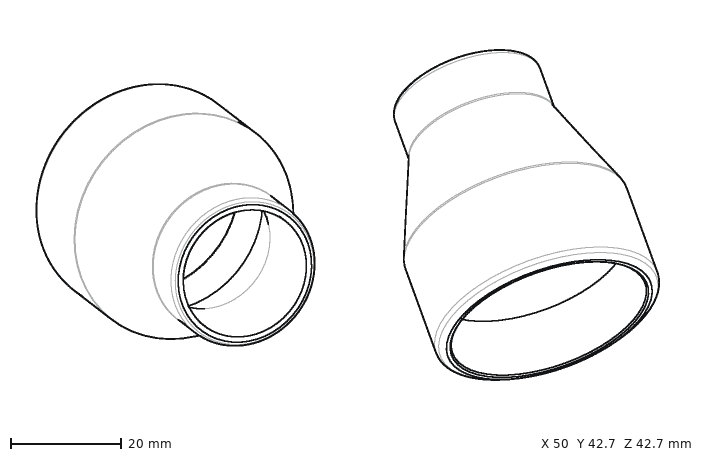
import cadquery as cq
import math

length = 50.0
large_outer_radius = 42.7 / 2
large_bore_radius = 37.1 / 2
small_outer_radius = 28.0 / 2
small_bore_radius = 24.0 / 2

taper_length = 20.0
outer_taper_start = 20.0
inner_taper_start = 12.0

land_width = 1.0
bevel_angle = math.radians(30)
outer_corner_radius = 1.0
bore_mouth_chamfer = 0.3


def bevel_length(outer_radius, bore_radius):
    """Axial length of the bevel that joins the land to the outer wall."""
    return (outer_radius - bore_radius - land_width) * math.tan(bevel_angle)


def revolve_about_x(wall_points):
    """Solid of revolution about X from (x, radius) points running from end to end."""
    profile = [(0, 0)] + wall_points + [(length, 0)]
    return cq.Workplane("XZ").polyline(profile).close().revolve(360, (0, 0), (1, 0))


def make_body():
    """Outer shape: two cylinders, the cone between them and a bevel on each end."""
    large_bevel = bevel_length(large_outer_radius, large_bore_radius)
    small_bevel = bevel_length(small_outer_radius, small_bore_radius)
    body = revolve_about_x(
        [
            (0, large_bore_radius + land_width),
            (large_bevel, large_outer_radius),
            (outer_taper_start, large_outer_radius),
            (outer_taper_start + taper_length, small_outer_radius),
            (length - small_bevel, small_outer_radius),
            (length, small_bore_radius + land_width),
        ]
    )
    return body.edges("%CIRCLE and (not <X) and (not >X)").fillet(outer_corner_radius)


def make_bore():
    """Through bore: two cylinders, the cone between them and a chamfered large mouth."""
    return revolve_about_x(
        [
            (0, large_bore_radius + bore_mouth_chamfer),
            (bore_mouth_chamfer, large_bore_radius),
            (inner_taper_start, large_bore_radius),
            (inner_taper_start + taper_length, small_bore_radius),
            (length, small_bore_radius),
        ]
    )


result = make_body().cut(make_bore())